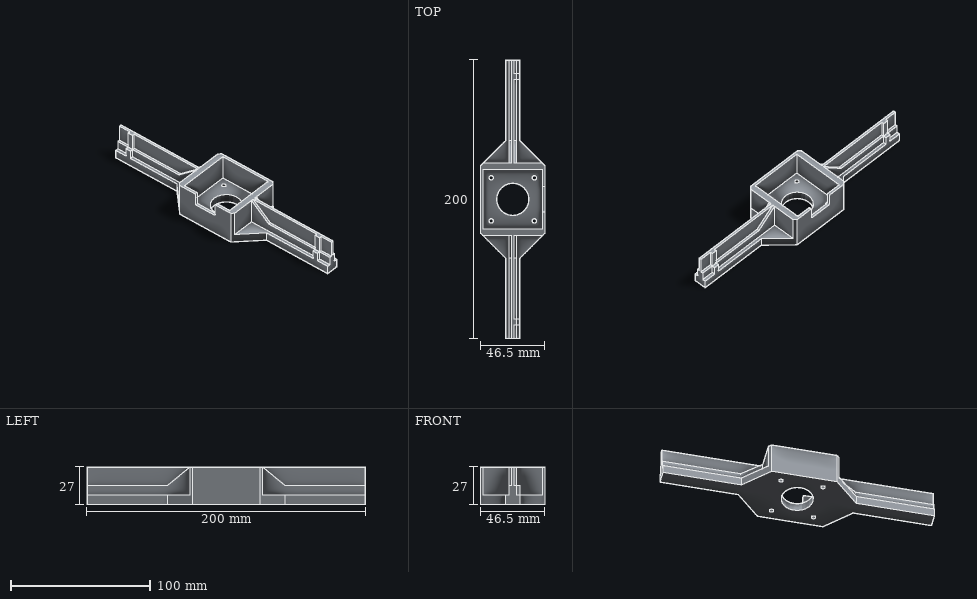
import cadquery as cq

length = 200.0
width = 46.5
height = 27.0

box_length = 52.2
pocket_side = 42.5
base_height = 7.0
corner_chamfer = 2.0
shaft_hole_diameter = 23.0
screw_spacing = 31.0
screw_hole_diameter = 3.0
hole_sides = 24

notch_width = 18.2
notch_depth = 10.0
notch_radius = 0.9

foot_width = 10.2
rib_width = 5.5
rib_height = 13.8
web_width = 1.8

stiffener_length = 4.2
stiffener_center = 88.2

gusset_end = (width + box_length) / 2 - corner_chamfer - foot_width / 2


def centered_block(size_x, size_y, size_z):
    """Block centred on the Z axis and standing on the base plane."""
    return cq.Workplane("XY").box(size_x, size_y, size_z, centered=(True, True, False))


def make_floor_hole(diameter, center_x, center_y):
    """Faceted hole through the floor, a regular prism with a corner pointing along +X."""
    outline = cq.Workplane("XY").center(center_x, center_y).polygon(hole_sides, diameter)
    return outline.extrude(base_height)


def make_arms():
    foot = centered_block(foot_width, length, base_height)
    web = centered_block(web_width, length, height)
    rib_outline = [
        (-length / 2, 0),
        (length / 2, 0),
        (length / 2, rib_height),
        (gusset_end, rib_height),
        (box_length / 2, height),
        (-box_length / 2, height),
        (-gusset_end, rib_height),
        (-length / 2, rib_height),
    ]
    rib = cq.Workplane("YZ").polyline(rib_outline).close().extrude(rib_width / 2, both=True)
    return foot.union(rib).union(web)


def make_stiffener(center_y):
    lower = cq.Workplane("XY").box(
        foot_width / 2, stiffener_length, rib_height, centered=(False, True, False)
    )
    upper = cq.Workplane("XY").box(
        rib_width / 2, stiffener_length, height, centered=(False, True, False)
    )
    return lower.union(upper).translate((0, center_y, 0))


def make_gussets():
    """Floor plate under the box that tapers into both arms."""
    run = (width - foot_width) / 2
    plate = centered_block(width, 2 * gusset_end, base_height)
    return plate.edges("|Z").chamfer(run)


def make_box():
    box = centered_block(width, box_length, height)
    return box.edges("|Z").chamfer(corner_chamfer)


def make_pocket():
    pocket = centered_block(pocket_side, pocket_side, height - base_height)
    return pocket.translate((0, 0, base_height))


def make_notch():
    half_width = notch_width / 2
    notch_bottom = height - notch_depth
    return (
        cq.Workplane("YZ")
        .moveTo(-half_width + notch_radius, notch_bottom)
        .lineTo(half_width - notch_radius, notch_bottom)
        .radiusArc((half_width, notch_bottom + notch_radius), -notch_radius)
        .lineTo(half_width, height - notch_radius)
        .radiusArc((half_width + notch_radius, height), notch_radius)
        .lineTo(-half_width - notch_radius, height)
        .radiusArc((-half_width, height - notch_radius), notch_radius)
        .lineTo(-half_width, notch_bottom + notch_radius)
        .radiusArc((-half_width + notch_radius, notch_bottom), -notch_radius)
        .close()
        .extrude(width / 2)
    )


result = make_arms().union(make_gussets()).union(make_box())
for side in (-1, 1):
    result = result.union(make_stiffener(side * stiffener_center))

result = result.cut(make_pocket()).cut(make_notch())
result = result.cut(make_floor_hole(shaft_hole_diameter, 0, 0))
for side_x in (-1, 1):
    for side_y in (-1, 1):
        screw_x = side_x * screw_spacing / 2
        screw_y = side_y * screw_spacing / 2
        result = result.cut(make_floor_hole(screw_hole_diameter, screw_x, screw_y))